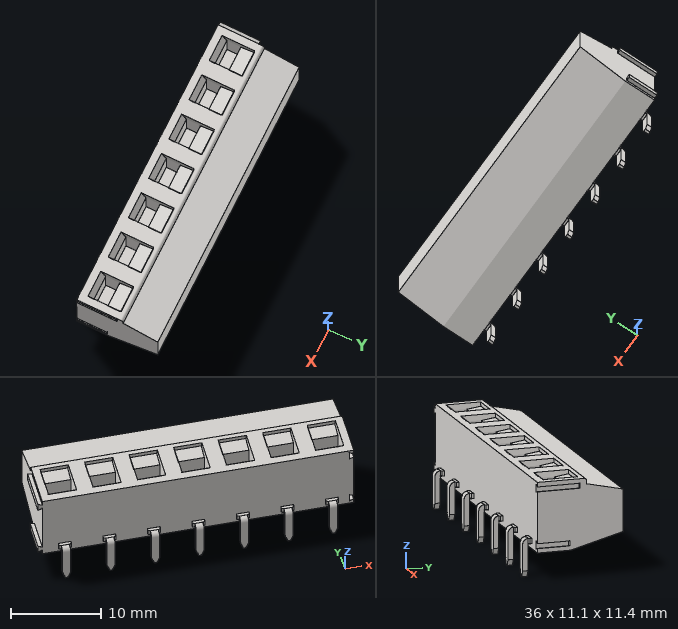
import cadquery as cq

overall_length = 36.05
ways = 7
tab_depth = 0.5
pitch = (overall_length - tab_depth) / ways
body_length = ways * pitch

body_depth = 10.05
body_height = 8.15
step_y = 5.77
step_height = 7.5
step_fillet = 0.32
back_top = 6.53
back_bottom = 1.62
underside_depth = 3.93

tab_height = 0.9
tab_flare = 0.18
dovetails = [(7.35, 5.0), (0.83, 3.8)]

pocket_width = 3.2
pocket_front = 0.97
pocket_back = 5.0
side_inset = 0.1
well_front = 1.62
well_back = 3.35
funnel_depth = 0.7
ledge_back_depth = 0.47
well_depth = body_height / 2

pin_width = 0.95
pin_thickness = 0.65
pin_tip_width = 0.32
pin_tip_length = 0.75
pin_below_body = 3.25
pin_outer_face = -1.05
pin_bend_radius = 0.7
pin_top = 1.23
pin_inner_face = pin_outer_face + pin_thickness
pin_root_overlap = 0.35
head_width = 1.45
head_height = 0.58
head_straight = 0.3


def make_body():
    """Wedge-backed housing, extruded along X."""
    return (
        cq.Workplane("YZ")
        .moveTo(0, 0)
        .lineTo(underside_depth, 0)
        .lineTo(body_depth, back_bottom)
        .lineTo(body_depth, back_top)
        .lineTo(step_y, step_height)
        .lineTo(step_y, body_height - step_fillet)
        .radiusArc((step_y - step_fillet, body_height), -step_fillet)
        .lineTo(0, body_height)
        .close()
        .extrude(body_length)
    )


def make_dovetail(end_x, centre_z, length):
    """Bar running back from the front face, widening toward its -X tip."""
    tip_half = tab_height / 2
    root_half = tip_half - tab_flare
    tip_x = end_x - tab_depth
    outline = [
        (end_x, centre_z - root_half),
        (end_x, centre_z + root_half),
        (tip_x, centre_z + tip_half),
        (tip_x, centre_z - tip_half),
    ]
    return cq.Workplane("XZ").polyline(outline).close().extrude(-length)


def make_pocket(centre_x):
    """Funnel with a sloping rear ledge, leading into a rectangular well."""
    funnel_z = body_height - funnel_depth
    floor_z = body_height - well_depth
    side_outline = [
        (pocket_front, body_height),
        (well_front, funnel_z),
        (well_front, floor_z),
        (well_back, floor_z),
        (well_back, funnel_z),
        (pocket_back, body_height - ledge_back_depth),
        (pocket_back, body_height),
    ]
    top_half = pocket_width / 2
    well_half = top_half - side_inset
    front_outline = [
        (centre_x - top_half, body_height),
        (centre_x - well_half, funnel_z),
        (centre_x - well_half, floor_z),
        (centre_x + well_half, floor_z),
        (centre_x + well_half, funnel_z),
        (centre_x + top_half, body_height),
    ]
    across = cq.Workplane("YZ").polyline(side_outline).close().extrude(body_length)
    along = cq.Workplane("XZ").polyline(front_outline).close().extrude(-body_depth)
    return across.intersect(along)


def make_pin(centre_x):
    """Strip bent down from the front face, with a pointed tip and a flared head."""
    half = pin_width / 2
    tip_half = pin_tip_width / 2
    strip_bottom = pin_top - pin_thickness
    bend_end_z = pin_top - pin_bend_radius
    strip = (
        cq.Workplane("YZ", origin=(centre_x - half, 0, 0))
        .moveTo(pin_root_overlap, pin_top)
        .lineTo(pin_outer_face + pin_bend_radius, pin_top)
        .radiusArc((pin_outer_face, bend_end_z), -pin_bend_radius)
        .lineTo(pin_outer_face, -pin_below_body)
        .lineTo(pin_inner_face, -pin_below_body)
        .lineTo(pin_inner_face, strip_bottom)
        .lineTo(pin_root_overlap, strip_bottom)
        .close()
        .extrude(pin_width)
    )
    tip_start = pin_tip_length - pin_below_body
    pointed_outline = [
        (centre_x - half, pin_top),
        (centre_x - half, tip_start),
        (centre_x - tip_half, -pin_below_body),
        (centre_x + tip_half, -pin_below_body),
        (centre_x + half, tip_start),
        (centre_x + half, pin_top),
    ]
    pointed = (
        cq.Workplane("XZ", origin=(0, pin_root_overlap, 0))
        .polyline(pointed_outline)
        .close()
        .extrude(pin_root_overlap - pin_outer_face)
    )
    head_half = head_width / 2
    head_outline = [
        (centre_x - head_half, pin_root_overlap),
        (centre_x - head_half, -head_straight),
        (centre_x - half, pin_inner_face),
        (centre_x + half, pin_inner_face),
        (centre_x + head_half, -head_straight),
        (centre_x + head_half, pin_root_overlap),
    ]
    head = (
        cq.Workplane("XY", origin=(0, 0, pin_top - head_height))
        .polyline(head_outline)
        .close()
        .extrude(head_height)
    )
    return strip.intersect(pointed).union(head)


result = make_body()

for centre_z, length in dovetails:
    result = result.union(make_dovetail(0, centre_z, length))
    result = result.cut(make_dovetail(body_length, centre_z, length))

for way in range(ways):
    way_x = (way + 0.5) * pitch
    result = result.cut(make_pocket(way_x))
    result = result.union(make_pin(way_x))